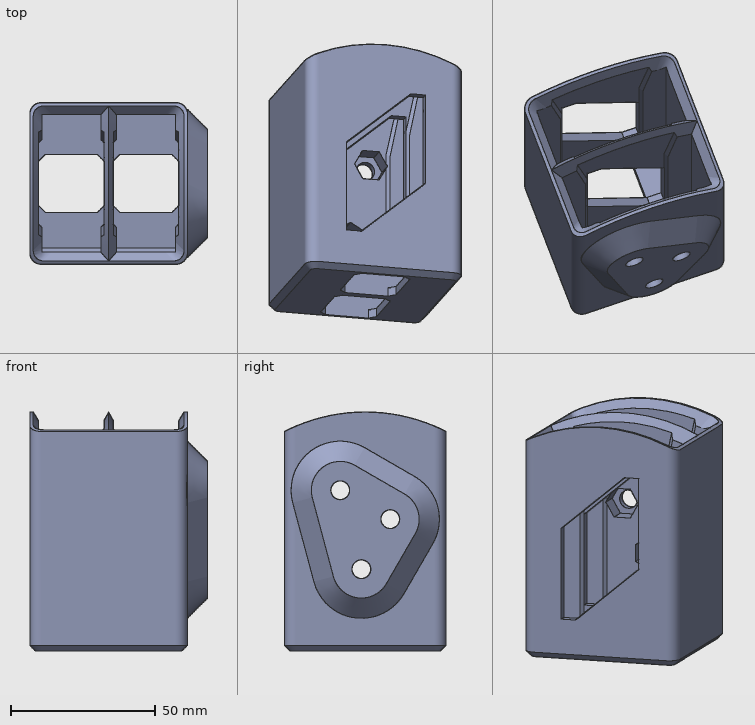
import cadquery as cq
import math

DEPTH = 56.0
WALL = 4.2
DIVIDER = 5.4
CELL_WIDTH = 20.4
WIDTH = 2 * WALL + 2 * CELL_WIDTH + DIVIDER
FLOOR = 3.0
CORNER_RADIUS = 4.0
BASE_CHAMFER = 2.0
EDGE_HEIGHT = 76.0
DOME_RADIUS = 61.0

HALF_WIDTH = WIDTH / 2
HALF_DEPTH = DEPTH / 2
CELL_HALF_DEPTH = HALF_DEPTH - WALL
CELL_NEAR = DIVIDER / 2
CELL_FAR = CELL_NEAR + CELL_WIDTH
CELL_CENTRE = (CELL_NEAR + CELL_FAR) / 2
DOME_CENTRE_Z = EDGE_HEIGHT - math.sqrt(DOME_RADIUS**2 - HALF_DEPTH**2)
TOP_HEIGHT = DOME_CENTRE_Z + DOME_RADIUS
CLEARANCE = 10.0

RIM = 1.2
FLARE = WALL - RIM
FLARE_HEIGHT = 5.0
MOUTH_RADIUS = 3.5

WINDOW_CENTRE_Z = 40.0
WINDOW_HALF_WIDTH = 14.15
WINDOW_HALF_HEIGHT = 25.7
WINDOW_FLAT = 5.2
WINDOW_SLOPE = 40.0

GROOVE_DEPTH = 1.1
GROOVE_HALF_WIDTH = 14.1
GROOVE_BEVEL = GROOVE_DEPTH
GROOVE_TAPER_Z = 60.0
GROOVE_TOP_HALF_WIDTH = 19.0

DRAIN_LENGTH = 20.0
DRAIN_CHAMFER = 2.3
WEDGE_WIDTH = 1.5
WEDGE_HEIGHT = 2.6

PAD_HEIGHT = 7.0
PAD_CENTRE_Z = 42.0
PAD_TIP_RADIUS = 10.0
PAD_BASE_RADIUS = PAD_TIP_RADIUS + PAD_HEIGHT
PAD_TAPER = 45.0
PAD_ROOT = 1.0
SCREW_SPACING = 20.0
SCREW_TILT = math.radians(30)
SCREW_DIAMETER = 6.4
NUT_FLATS = 10.2
NUT_CORNERS = NUT_FLATS * 2 / math.sqrt(3)
NUT_TURNS = [0, 0, 30]
NUT_FLOOR = 3.0


def screw_positions():
    """(Y, Z) of the screws: the upper, the middle and the lower one."""
    step_y = SCREW_SPACING * math.cos(SCREW_TILT)
    step_z = SCREW_SPACING * math.sin(SCREW_TILT)
    middle_y = step_y / 2
    middle_z = PAD_CENTRE_Z + (step_y - step_z) / 2
    upper = (middle_y - step_y, middle_z + step_z)
    lower = (middle_y - step_z, middle_z - step_y)
    return [upper, (middle_y, middle_z), lower]


def dome(half_width, drop=0.0):
    """Everything under the domed top, lowered by `drop`."""
    bottom = -CLEARANCE
    side = DOME_CENTRE_Z - drop
    profile = (
        cq.Workplane("YZ", origin=(-half_width, 0, 0))
        .moveTo(-DOME_RADIUS, bottom)
        .lineTo(DOME_RADIUS, bottom)
        .lineTo(DOME_RADIUS, side)
        .threePointArc((0, side + DOME_RADIUS), (-DOME_RADIUS, side))
        .close()
    )
    return profile.extrude(2 * half_width)


def shell_body():
    """Solid block with rounded corners under the domed top."""
    block = (
        cq.Workplane("XY")
        .rect(WIDTH, DEPTH)
        .extrude(TOP_HEIGHT + CLEARANCE)
        .edges("|Z")
        .fillet(CORNER_RADIUS)
        .faces("<Z")
        .chamfer(BASE_CHAMFER)
    )
    return block.intersect(dome(WIDTH))


def mounting_pad():
    """Tapered pad on the right wall, rounded around the three screws."""
    def outline(x):
        return (
            cq.Workplane("YZ", origin=(x, 0, 0))
            .polyline(screw_positions())
            .close()
            .offset2D(PAD_BASE_RADIUS)
        )

    cone = outline(HALF_WIDTH).extrude(PAD_HEIGHT, taper=PAD_TAPER)
    root = outline(HALF_WIDTH - PAD_ROOT).extrude(PAD_ROOT)
    return cone.union(root)


def mouth_section(inset, drop):
    """Domed face across a compartment mouth, `inset` inside its widest size."""
    near = CELL_NEAR * inset / FLARE
    far = HALF_WIDTH - RIM - inset
    half_depth = HALF_DEPTH - RIM - inset
    prism = (
        cq.Workplane("XY")
        .center((near + far) / 2, 0)
        .rect(far - near, 2 * half_depth)
        .extrude(TOP_HEIGHT + CLEARANCE)
        .edges("|Z and >X")
        .fillet(MOUTH_RADIUS)
    )
    return prism.intersect(dome(WIDTH, drop)).faces(">Z").val()


def mouth_flare():
    """Plug that widens the right compartment towards the domed top."""
    wide = mouth_section(0, 0)
    narrow = mouth_section(FLARE, FLARE_HEIGHT)
    edge_pairs = zip(wide.outerWire().Edges(), narrow.outerWire().Edges())
    sides = [cq.Face.makeRuledSurface(top, bottom) for top, bottom in edge_pairs]
    shell = cq.Shell.makeShell([wide, narrow] + sides)
    return cq.Workplane(cq.Solid.makeSolid(shell))


def groove(open_x, floor_x):
    """Cutter for one groove, from the wall face at `open_x` to the groove floor."""
    def section(x, spread):
        lower = GROOVE_HALF_WIDTH + spread
        upper = GROOVE_TOP_HALF_WIDTH + spread
        taper_z = GROOVE_TAPER_Z - spread
        profile = [
            (-lower, FLOOR),
            (lower, FLOOR),
            (lower, taper_z),
            (upper, TOP_HEIGHT),
            (-upper, TOP_HEIGHT),
            (-lower, taper_z),
        ]
        return cq.Workplane("YZ", origin=(x, 0, 0)).polyline(profile).close().val()

    wires = [section(open_x, GROOVE_BEVEL), section(floor_x, 0)]
    return cq.Workplane(cq.Solid.makeLoft(wires, True))


def floor_wedge():
    """Sloped strip where the front wall meets the compartment floor."""
    wall_y = -CELL_HALF_DEPTH
    profile = [
        (wall_y, FLOOR),
        (wall_y + WEDGE_WIDTH, FLOOR),
        (wall_y, FLOOR + WEDGE_HEIGHT),
    ]
    plane = cq.Workplane("YZ", origin=(CELL_NEAR, 0, 0))
    return plane.polyline(profile).close().extrude(CELL_WIDTH)


def compartment():
    """Cutter for the right compartment."""
    cell = (
        cq.Workplane("XY", origin=(CELL_CENTRE, 0, FLOOR))
        .rect(CELL_WIDTH, 2 * CELL_HALF_DEPTH)
        .extrude(TOP_HEIGHT)
        .cut(floor_wedge())
    )
    drain = (
        cq.Workplane("XY", origin=(CELL_CENTRE, 0, -CLEARANCE))
        .rect(CELL_WIDTH + 2 * GROOVE_DEPTH, DRAIN_LENGTH)
        .extrude(FLOOR + CLEARANCE)
        .edges("|Z")
        .chamfer(DRAIN_CHAMFER)
    )
    near_groove = groove(CELL_NEAR, CELL_NEAR - GROOVE_DEPTH)
    far_groove = groove(CELL_FAR, CELL_FAR + GROOVE_DEPTH)
    return cell.union(near_groove).union(far_groove).union(drain).union(mouth_flare())


def window():
    """Slanted six-sided opening through the left wall and the divider."""
    low = -WINDOW_HALF_HEIGHT
    slant_rise = (2 * WINDOW_HALF_WIDTH - WINDOW_FLAT) * math.tan(math.radians(WINDOW_SLOPE))
    half = [
        (WINDOW_HALF_WIDTH, low),
        (WINDOW_HALF_WIDTH - WINDOW_FLAT, low),
        (-WINDOW_HALF_WIDTH, low + slant_rise),
    ]
    outline = half + [(-y, -z) for y, z in half]
    start = -HALF_WIDTH - CLEARANCE
    plane = cq.Workplane("YZ", origin=(start, 0, WINDOW_CENTRE_Z))
    return plane.polyline(outline).close().extrude(CELL_NEAR - start)


def screw_cutters():
    """Through holes with hexagonal nut pockets opening into the compartment."""
    length = HALF_WIDTH + PAD_HEIGHT - CELL_CENTRE
    cutters = cq.Workplane("YZ")
    for (y, z), turn in zip(screw_positions(), NUT_TURNS):
        seat = cq.Workplane("YZ", origin=(CELL_CENTRE, y, z))
        hole = seat.circle(SCREW_DIAMETER / 2).extrude(length)
        nut = (
            seat.polygon(6, NUT_CORNERS)
            .extrude(length - NUT_FLOOR)
            .rotate((0, y, z), (1, y, z), turn)
        )
        cutters = cutters.add(hole.union(nut))
    return cutters.combine()


right_compartment = compartment()
left_compartment = right_compartment.mirror("YZ")

result = (
    shell_body()
    .union(mounting_pad())
    .cut(right_compartment)
    .cut(left_compartment)
    .cut(window())
    .cut(screw_cutters())
)